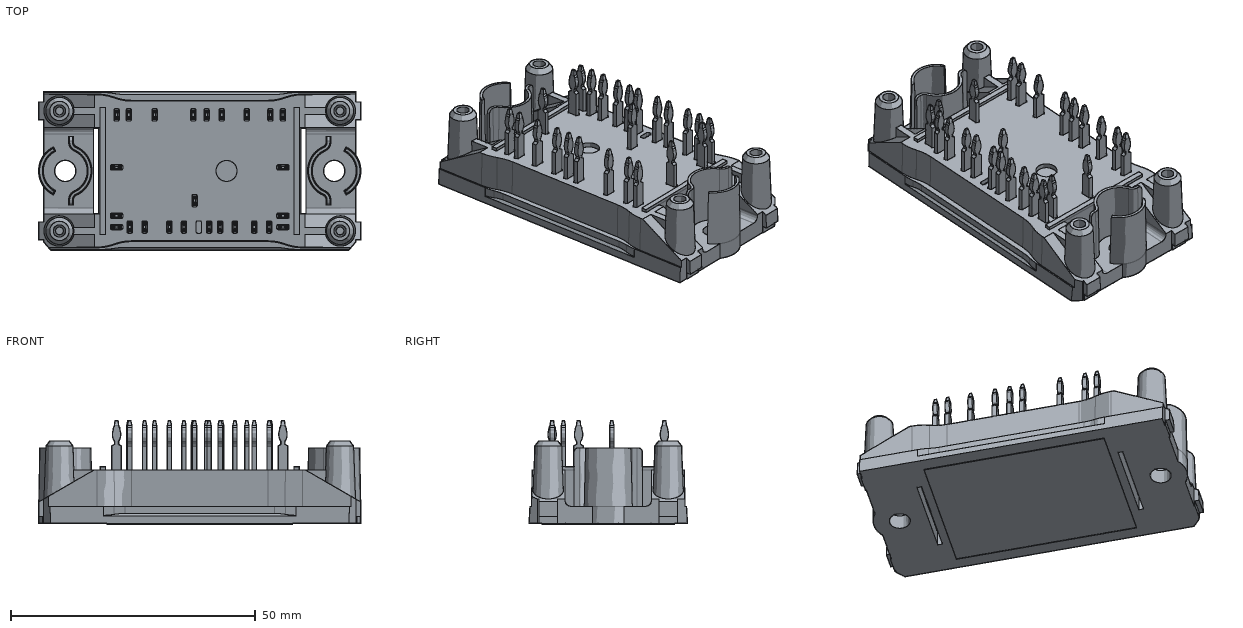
import cadquery as cq
import math

underside_z = 0.2
floor_z = 3.7
top_z = 11.15
overlap = 0.3
clearance = 0.65

half_length = 31.95
half_width = 16.25
base_top_half_width = 16.05
upper_half_width = 15.74
waist_half_width = 14.45
waist_outer_x = 21.0
waist_inner_x = 13.9
upper_draft = 1.3
corner_chamfer_x = 1.45
corner_chamfer_y = 1.7
slope_start_x = 21.6
slope_angle = 30.0

plate_half_length = 19.0
plate_half_width = 13.6

groove_outer_x = 19.75
groove_inner_x = 15.3
groove_half_width = 15.65
groove_floor_in = 2.25
groove_floor_out = 1.65

pocket_half_width = 8.85
pocket_inner_x = 20.4
slot_inner_x = 20.7
pocket_fillet = 1.25
slot_width = 1.0
slot_half_width = 8.7
mount_x = 27.5
mount_diameter = 4.3

guide_radius = 5.5
guide_thickness = 1.0
guide_draft = 1.0
guide_top_z = 15.65
guide_end_angle = 64.0
guide_end_y = 7.0
guide_bend_radius = 1.45
guide_tail_offset = 1.2
guide_corner = 0.85

post_x = 28.7
post_y = 12.3
post_foot_radius = 3.25
post_shoulder_radius = 2.8
post_tip_radius = 2.0
post_shoulder_z = 16.05
post_top_z = 17.1
post_hole_radius = 1.25
post_hole_end_radius = 0.8
post_hole_depth = 7.9
web_width = 1.45

tab_end_x = 33.0
tab_half_width = 1.85
tab_side_z = 1.65
tab_foot = 0.2
tab_lean = 0.1

rail_width = 1.1
rail_x = pocket_inner_x - rail_width / 2
rail_half_length = 13.0
rail_height = 0.65
dimple_x = 5.5
dimple_depth = 1.0

pin_top_z = 21.25
pin_thickness = 0.9
pin_tip_thickness = 0.45
pin_tip_z = 20.2
pocket_length = 2.6
pocket_width = 1.1
pocket_corner = 0.4
pin_pocket_depth = 1.0
pin_root_half_width = 1.0
pin_root_z = 16.05
pin_neck_half_width = 0.4
pin_neck_z = (16.45, 16.9)
pin_bulge_half_width = 0.85
pin_bulge_z = 18.1
pin_taper_half_width = (0.7, 0.65)
pin_taper_z = (19.3, 19.8)
pin_point_half_width = (0.45, 0.3)
pin_row_y = 11.5
back_row_x = [-17.0, -14.5, -9.25, -1.3, 1.4, 4.5, 9.65, 14.45, 17.0]
front_row_x = [-14.3, -11.3, -6.2, -3.25, 1.9, 4.15, 7.2, 11.15, 14.2]
inner_pin = (-1.05, -6.1)
spare_pocket = (-0.2, -pin_row_y)
side_column_x = 17.0
side_column_y = [0.7, -9.2, -pin_row_y]

pins_along_y = [(x, pin_row_y) for x in back_row_x]
pins_along_y += [(x, -pin_row_y) for x in front_row_x] + [inner_pin]
pins_along_x = [(sx * side_column_x, y) for sx in (-1, 1) for y in side_column_y]


def block(x0, x1, y0, y1, z0, z1):
    """Box between two opposite corners."""
    return cq.Workplane("XY").box(x1 - x0, y1 - y0, z1 - z0, centered=False).translate((x0, y0, z0))


def both_ends(left):
    """The given left-end feature plus its mirror image at the right end."""
    return left.union(left.mirror("YZ"))


def slope_height(x):
    """Height of the sloping end face at a distance x from the middle."""
    return top_z - (x - slope_start_x) * math.tan(math.radians(slope_angle))


def along_x(points, length):
    """Prism along X, centred on X = 0, from a profile of (y, z) points."""
    return cq.Workplane("YZ").polyline(points).close().extrude(length / 2, both=True)


def along_y(points, length):
    """Prism along Y, centred on Y = 0, from a profile of (x, z) points."""
    return cq.Workplane("XZ").polyline(points).close().extrude(length / 2, both=True)


def s_curves(outline, x_out, y_out, x_in, y_in):
    """Continue an outline with a dip between two S curves, mirrored about X = 0."""
    middle = ((x_out + x_in) / 2, (y_out + y_in) / 2)
    outline = outline.tangentArcPoint(middle, relative=False)
    outline = outline.tangentArcPoint((x_in, y_in), relative=False)
    outline = outline.lineTo(-x_in, y_in)
    outline = outline.tangentArcPoint((-middle[0], middle[1]), relative=False)
    return outline.tangentArcPoint((-x_out, y_out), relative=False)


def base():
    profile = [(-half_width, underside_z), (half_width, underside_z),
               (base_top_half_width, floor_z), (-base_top_half_width, floor_z)]
    return along_x(profile, 2 * half_length).cut(side_groove(1)).cut(side_groove(-1))


def side_groove(side):
    """Cutter for the curved groove below the ledge, with a floor that falls outwards."""
    outside_y = side * (half_width + clearance)
    above_z = floor_z + clearance
    outline = cq.Workplane("XY").moveTo(-groove_outer_x - overlap, side * base_top_half_width)
    outline = outline.lineTo(-groove_outer_x, side * base_top_half_width)
    outline = s_curves(outline, -groove_outer_x, side * base_top_half_width,
                       -groove_inner_x, side * groove_half_width)
    outline = outline.lineTo(groove_outer_x + overlap, side * base_top_half_width)
    plan = outline.lineTo(groove_outer_x + overlap, outside_y).lineTo(-groove_outer_x - overlap, outside_y)
    plan = plan.close().extrude(above_z)
    wedge = along_x([(side * groove_half_width, groove_floor_in), (side * half_width, groove_floor_out),
                     (outside_y, groove_floor_out), (outside_y, above_z),
                     (side * groove_half_width, above_z)], 2 * groove_outer_x)
    return plan.intersect(wedge)


def upper_housing():
    """Waisted block with drafted sides, cut down to the two sloping ends."""
    reach = half_length + clearance
    outline = cq.Workplane("XY").moveTo(-reach, upper_half_width).lineTo(-waist_outer_x, upper_half_width)
    outline = s_curves(outline, -waist_outer_x, upper_half_width, -waist_inner_x, waist_half_width)
    outline = outline.lineTo(reach, upper_half_width).lineTo(reach, -upper_half_width)
    outline = outline.lineTo(waist_outer_x, -upper_half_width)
    outline = s_curves(outline, waist_outer_x, -upper_half_width, waist_inner_x, -waist_half_width)
    outline = outline.lineTo(-reach, -upper_half_width).close()
    solid = outline.extrude(top_z - floor_z, taper=upper_draft).translate((0, 0, floor_z))
    end_z = slope_height(half_length)
    silhouette = along_y([(-half_length, underside_z), (half_length, underside_z), (half_length, end_z),
                          (slope_start_x, top_z), (-slope_start_x, top_z), (-half_length, end_z)],
                         2 * half_width)
    return solid.intersect(silhouette)


def corner_chamfers():
    """Cutter for the two front corners, through the full height."""
    start_x = -half_length + corner_chamfer_x
    end_y = -half_width + corner_chamfer_y
    outside_x = -half_length - clearance
    outside_y = -half_width - clearance
    wedge = cq.Workplane("XY").polyline([(start_x, -half_width), (-half_length, end_y), (outside_x, end_y),
                                         (outside_x, outside_y), (start_x, outside_y)])
    wedge = wedge.close().extrude(top_z)
    return both_ends(wedge)


def flange_pocket():
    """Cutter above the left flange floor, rounded where the side walls meet the floor."""
    outside_x = -tab_end_x - clearance
    above_z = top_z + clearance
    pocket = along_y([(outside_x, floor_z), (-slot_inner_x, floor_z), (-pocket_inner_x, top_z),
                      (-pocket_inner_x, above_z), (outside_x, above_z)], 2 * pocket_half_width)
    return pocket.edges("|X and <Z").fillet(pocket_fillet)


def flange_slot():
    """Cutter for the slot between the left flange and the housing."""
    return block(-slot_inner_x - slot_width, -slot_inner_x,
                 -slot_half_width, slot_half_width, 0, floor_z + clearance)


def mount_hole():
    return cq.Workplane("XY").center(-mount_x, 0).circle(mount_diameter / 2).extrude(floor_z + clearance)


def flange_lug():
    """Round bulge of the left flange below the outboard guide wall."""
    disc = cq.Workplane("XY").center(-mount_x, 0).circle(guide_radius).extrude(floor_z - underside_z)
    keep = block(-tab_end_x, -mount_x, -guide_radius, guide_radius, 0, floor_z)
    return disc.translate((0, 0, underside_z)).intersect(keep)


def trim_guide(wall, half_span):
    """Round the upper corners of a guide wall as seen along X."""
    window = block(-tab_end_x - clearance, -pocket_inner_x, -half_span, half_span, floor_z, guide_top_z)
    return wall.intersect(window.edges("|X and >Z").fillet(guide_corner))


def outboard_guide():
    """Arc wall on the outer side of the left hole."""
    angle = math.radians(guide_end_angle)
    inner_radius = guide_radius - guide_thickness

    def on_arc(radius, side):
        return (-mount_x - radius * math.cos(angle), side * radius * math.sin(angle))

    wall = cq.Workplane("XY").moveTo(*on_arc(guide_radius, 1))
    wall = wall.threePointArc((-mount_x - guide_radius, 0), on_arc(guide_radius, -1))
    wall = wall.lineTo(*on_arc(inner_radius, -1))
    wall = wall.threePointArc((-mount_x - inner_radius, 0), on_arc(inner_radius, 1)).close()
    wall = wall.extrude(guide_top_z - floor_z, taper=guide_draft).translate((0, 0, floor_z))
    return trim_guide(wall, guide_radius * math.sin(angle))


def inboard_guide():
    """Arc wall on the inner side of the left hole, bending into two straight tails."""
    mid_radius = guide_radius - guide_thickness / 2
    bend_x = guide_tail_offset + guide_bend_radius
    bend_y = math.sqrt((mid_radius + guide_bend_radius) ** 2 - bend_x ** 2)
    scale = mid_radius / (mid_radius + guide_bend_radius)
    meet = (bend_x * scale, bend_y * scale)
    path = cq.Workplane("XY", origin=(-mount_x, 0, floor_z))
    path = path.moveTo(guide_tail_offset, -guide_end_y).lineTo(guide_tail_offset, -bend_y)
    path = path.tangentArcPoint((meet[0], -meet[1]), relative=False)
    path = path.threePointArc((mid_radius, 0), meet)
    path = path.tangentArcPoint((guide_tail_offset, bend_y), relative=False)
    path = path.lineTo(guide_tail_offset, guide_end_y)
    wall = path.offset2D(guide_thickness / 2).extrude(guide_top_z - floor_z, taper=guide_draft)
    return trim_guide(wall, guide_end_y)


def post(sx, sy):
    """Tapered corner post with a chamfered tip and a tapered screw hole."""
    hole_z = post_top_z - post_hole_depth
    profile = [(0, floor_z), (post_foot_radius, floor_z), (post_shoulder_radius, post_shoulder_z),
               (post_tip_radius, post_top_z), (post_hole_radius, post_top_z),
               (post_hole_end_radius, hole_z), (0, hole_z)]
    solid = cq.Workplane("XZ").polyline(profile).close().revolve(360, (0, 0, 0), (0, 1, 0))
    return solid.translate((sx * post_x, sy * post_y, 0))


def web(sx, sy):
    """Flat-topped rib between the housing and a corner post."""
    rib = block(slope_start_x - overlap, post_x - post_hole_radius - overlap,
                -web_width / 2, web_width / 2, floor_z, top_z)
    rib = rib.translate((0, sy * post_y, 0))
    return rib if sx > 0 else rib.mirror("YZ")


def tab(sx, sy):
    """Small block standing out from the end face beside a post."""
    inner_x = half_length - overlap
    foot_x = half_length + tab_foot
    top_x = tab_end_x - tab_lean
    profile = [(inner_x, underside_z), (foot_x, underside_z), (foot_x, tab_side_z), (tab_end_x, tab_side_z),
               (top_x, slope_height(top_x)), (inner_x, slope_height(inner_x))]
    solid = along_y([(sx * x, z) for x, z in profile], 2 * tab_half_width)
    return solid.translate((0, sy * post_y, 0))


def rail():
    return block(-rail_x - rail_width / 2, -rail_x + rail_width / 2, -rail_half_length, rail_half_length,
                 top_z - overlap, top_z + rail_height)


def pin():
    """Press-fit pin at the origin, its wide face along Y."""
    foot_z = top_z - pin_pocket_depth - overlap
    face = cq.Workplane("YZ").moveTo(0, foot_z).lineTo(pin_root_half_width, foot_z)
    face = face.lineTo(pin_root_half_width, pin_root_z)
    face = face.lineTo(pin_neck_half_width, pin_neck_z[0]).lineTo(pin_neck_half_width, pin_neck_z[1])
    face = face.threePointArc((pin_bulge_half_width, pin_bulge_z),
                              (pin_taper_half_width[0], pin_taper_z[0]))
    face = face.lineTo(pin_taper_half_width[1], pin_taper_z[1]).lineTo(pin_point_half_width[0], pin_tip_z)
    face = face.lineTo(pin_point_half_width[1], pin_top_z).lineTo(0, pin_top_z)
    half_pin = face.close().extrude(pin_thickness, both=True)
    wide = half_pin.union(half_pin.mirror("XZ"))
    half = pin_thickness / 2
    half_tip = pin_tip_thickness / 2
    thin = along_y([(-half, foot_z), (half, foot_z), (half, pin_tip_z), (half_tip, pin_top_z),
                    (-half_tip, pin_top_z), (-half, pin_tip_z)], pocket_length)
    return wide.intersect(thin)


def pin_pocket():
    """Cutter for the recess around a pin at the origin, long side along Y."""
    pocket = cq.Workplane("XY").rect(pocket_width, pocket_length).extrude(pin_pocket_depth + clearance)
    return pocket.edges("|Z").fillet(pocket_corner).translate((0, 0, top_z - pin_pocket_depth))


def at_points(feature, points):
    """Copies of a feature moved from the origin to each point."""
    return cq.Workplane("XY").pushPoints(points).eachpoint(feature.val())


def turned(feature):
    """The feature turned a quarter about Z."""
    return feature.rotate((0, 0, 0), (0, 0, 1), 90)


plate = block(-plate_half_length, plate_half_length, -plate_half_width, plate_half_width,
              0, underside_z + overlap)
result = base().union(upper_housing()).cut(corner_chamfers())
result = result.cut(both_ends(flange_pocket()))
result = result.union(both_ends(flange_lug())).union(plate)
result = result.cut(both_ends(mount_hole())).cut(both_ends(flange_slot()))

for sx in (-1, 1):
    for sy in (-1, 1):
        result = result.union(web(sx, sy)).union(post(sx, sy)).union(tab(sx, sy))
result = result.union(both_ends(outboard_guide())).union(both_ends(inboard_guide()))

result = result.union(both_ends(rail()))
dimple = cq.Workplane("XY", origin=(dimple_x, 0, top_z - dimple_depth)).circle(mount_diameter / 2)
result = result.cut(dimple.extrude(dimple_depth + clearance))

result = result.cut(at_points(pin_pocket(), pins_along_y + [spare_pocket]))
result = result.cut(at_points(turned(pin_pocket()), pins_along_x))
result = result.union(at_points(pin(), pins_along_y))
result = result.union(at_points(turned(pin()), pins_along_x))